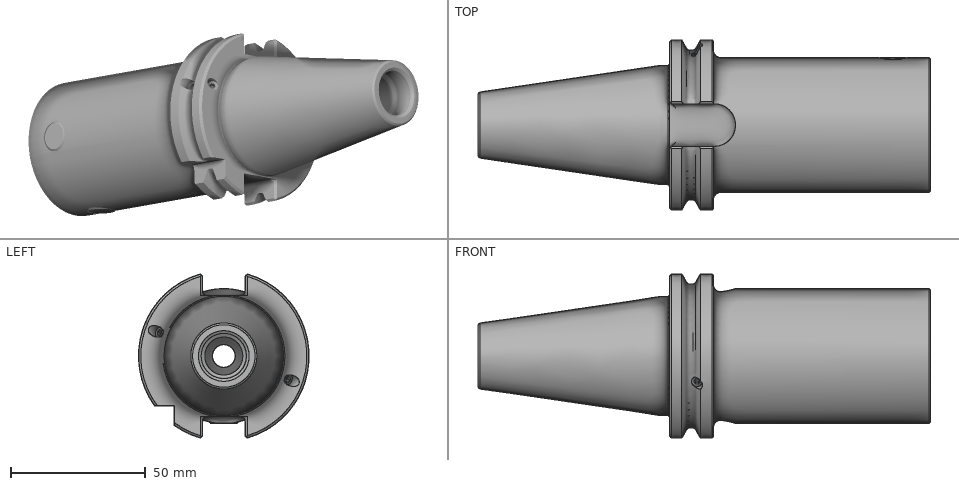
import cadquery as cq
import math


total_length = 168.2
taper_length = 68.0
taper_small_radius = 12.3
taper_large_radius = 22.2
small_end_chamfer = 0.7
body_radius = 25.0
nose_chamfer = 0.5

flange_front = 71.2
flange_rear = 87.5
flange_diameter = 63.5
flange_front_chamfer = 0.8
flange_rear_chamfer = 0.5
front_fillet = 0.5
rear_fillet = 2.9
groove_center = 79.2
groove_width = 7.0
groove_floor_radius = 28.0
groove_fillet = 1.2
flank_angle = 30.0

slot_half_width = 7.9
slot_floor = 22.5
slot_fillet = 1.5
slot_edge_chamfer = 0.8
slot_end_center = 87.8

notch_offset = 18.5

bore_mouth_radius = 9.5
pilot_radius = 8.4
pilot_depth = 7.7
thread_radius = 7.0
thread_end = 32.0
through_radius = 4.2
drill_point_angle = 60.0

coolant_angle = 20.0
coolant_radius = 2.0
coolant_depth = 8.4
face_hole_slope = 45.0
face_hole_radius = 27.0
face_screw_recess = 2.0
groove_hole_slope = 90.0
groove_hole_x = 81.5
groove_screw_recess = 0.3
set_screw_length = 4.0
socket_flats = 2.0
socket_depth = 2.0

plug_x = 154.3
plug_radius = 5.5
plug_top = 25.0
plug_length = 10.1
plug_chamfer = 0.7

flange_radius = flange_diameter / 2
flank_slope = math.tan(math.radians(flank_angle))
groove_half_floor = groove_width / 2 - (flange_radius - groove_floor_radius) * flank_slope
cut_reach = 2 * flange_radius


def revolved(points):
    """Solid of revolution around X from (x, radius) points."""
    profile = cq.Workplane("XY").polyline(points).close()
    return profile.revolve(360, (0, 0, 0), (1, 0, 0))


def shank_and_nose():
    chamfered_radius = taper_small_radius - small_end_chamfer
    return revolved([
        (0, 0),
        (0, chamfered_radius),
        (small_end_chamfer, taper_small_radius),
        (taper_length, taper_large_radius),
        (flange_front, taper_large_radius),
        (flange_front, body_radius),
        (total_length - nose_chamfer, body_radius),
        (total_length, body_radius - nose_chamfer),
        (total_length, 0),
    ])


def flange():
    disc = revolved([
        (flange_front, 0),
        (flange_front, flange_radius - flange_front_chamfer),
        (flange_front + flange_front_chamfer, flange_radius),
        (flange_rear - flange_rear_chamfer, flange_radius),
        (flange_rear, flange_radius - flange_rear_chamfer),
        (flange_rear, 0),
    ])
    return disc.cut(v_groove())


def v_groove():
    lip = 1.7
    half_mouth = groove_width / 2 + lip * flank_slope
    profile = (
        cq.Sketch()
        .polygon([
            (groove_center - half_mouth, flange_radius + lip),
            (groove_center - groove_half_floor, groove_floor_radius),
            (groove_center + groove_half_floor, groove_floor_radius),
            (groove_center + half_mouth, flange_radius + lip),
            (groove_center - half_mouth, flange_radius + lip),
        ])
        .vertices("<Y")
        .fillet(groove_fillet)
    )
    return cq.Workplane("XY").placeSketch(profile).revolve(360, (0, 0, 0), (1, 0, 0))


def root_fillet(x, radius, size):
    """Concave ring between a flange face at x and the round beside it, towards +X if size is positive."""
    ring = (
        cq.Workplane("XY")
        .moveTo(x, radius)
        .lineTo(x, radius + abs(size))
        .radiusArc((x + size, radius), -size)
        .close()
    )
    return ring.revolve(360, (0, 0, 0), (1, 0, 0))


def drive_slot():
    """Cutter for the slot on +Z: round-ended, with rounded floor edges and chamfered mouth edges."""
    start = flange_front - slot_half_width
    straight = slot_end_center - start
    height = cut_reach - slot_floor
    middle = (start + slot_end_center) / 2
    channel = (
        cq.Workplane("XY", origin=(0, 0, slot_floor))
        .center(middle, 0)
        .slot2D(straight + 2 * slot_half_width, 2 * slot_half_width)
        .extrude(height)
        .faces("<Z")
        .edges()
        .fillet(slot_fillet)
    )
    return channel.union(slot_front_chamfer(height)).union(slot_rim_chamfer())


def slot_front_chamfer(height):
    """Wedge opening the slot at 45 degrees towards the front face, down to its floor."""
    wide = slot_half_width + slot_edge_chamfer
    narrow = slot_half_width - slot_fillet
    front = cq.Workplane("XY", origin=(0, 0, slot_floor))
    return front.polyline([
        (flange_front, -wide),
        (flange_front + wide - narrow, -narrow),
        (flange_front + wide - narrow, narrow),
        (flange_front, wide),
    ]).close().extrude(height)


def slot_rim_chamfer():
    """V-shaped prism that breaks the outer edges of the slot along the flange."""
    rim_z = math.sqrt(flange_radius**2 - (slot_half_width + slot_edge_chamfer) ** 2)
    bottom = rim_z - slot_edge_chamfer
    rise = 3.4
    section = cq.Workplane("YZ", origin=(flange_front, 0, 0)).polyline([
        (-slot_half_width, bottom),
        (slot_half_width, bottom),
        (slot_half_width + rise, bottom + rise),
        (-slot_half_width - rise, bottom + rise),
    ])
    return section.close().extrude(flange_rear - flange_front)


def corner_notch():
    length = flange_rear + rear_fillet - flange_front
    return cq.Workplane("XY").box(length, cut_reach, cut_reach, centered=False).translate(
        (flange_front, notch_offset, -notch_offset - cut_reach)
    )


def bore():
    point_length = (thread_radius - through_radius) / math.tan(math.radians(drill_point_angle))
    return revolved([
        (0, 0),
        (0, bore_mouth_radius),
        (bore_mouth_radius - pilot_radius, pilot_radius),
        (pilot_depth, pilot_radius),
        (pilot_depth + pilot_radius - thread_radius, thread_radius),
        (thread_end, thread_radius),
        (thread_end + point_length, through_radius),
        (total_length, through_radius),
        (total_length, 0),
    ])


def coolant_planes(x, radius, hole_slope):
    """Two opposite work planes at the hole mouths, facing out along the holes."""
    slope = math.radians(hole_slope)
    planes = []
    for angle in (coolant_angle, coolant_angle + 180):
        across = math.cos(math.radians(angle))
        up = math.sin(math.radians(angle))
        origin = (x, radius * across, radius * up)
        outward = (-math.cos(slope), math.sin(slope) * across, math.sin(slope) * up)
        tangent = (0, -up, across)
        planes.append(cq.Plane(origin=origin, xDir=tangent, normal=outward))
    return planes


def coolant_hole(plane):
    overshoot = 2.5 * coolant_radius
    return (
        cq.Workplane(plane)
        .workplane(offset=-coolant_depth)
        .circle(coolant_radius)
        .extrude(coolant_depth + overshoot)
    )


def set_screw(plane, recess):
    screw = (
        cq.Workplane(plane)
        .workplane(offset=-recess - set_screw_length)
        .circle(coolant_radius)
        .extrude(set_screw_length)
    )
    socket = (
        cq.Workplane(plane)
        .workplane(offset=-recess)
        .polygon(6, socket_flats, circumscribed=True)
        .extrude(-socket_depth)
    )
    return screw.cut(socket)


def nose_hole(plane):
    bottom = plug_top - plug_length
    return cq.Workplane(plane).workplane(offset=bottom).circle(plug_radius).extrude(cut_reach)


def nose_plug(plane):
    bottom = plug_top - plug_length
    plug = cq.Workplane(plane).workplane(offset=bottom).circle(plug_radius).extrude(plug_length)
    rim = cq.selectors.RadiusNthSelector(0)
    top = plug.faces(cq.selectors.DirectionMinMaxSelector(plane.zDir, True))
    return top.edges(rim).chamfer(plug_chamfer)


face_planes = coolant_planes(flange_front, face_hole_radius, face_hole_slope)
groove_planes = coolant_planes(groove_hole_x, groove_floor_radius, groove_hole_slope)
plug_planes = [
    cq.Plane(origin=(plug_x, 0, 0), xDir=(1, 0, 0), normal=normal)
    for normal in ((0, 1, 0), (0, 0, -1))
]

holder = shank_and_nose().union(flange())
holder = holder.union(root_fillet(flange_front, taper_large_radius, -front_fillet))
holder = holder.union(root_fillet(flange_rear, body_radius, rear_fillet))
for turn in (0, 180):
    holder = holder.cut(drive_slot().rotate((0, 0, 0), (1, 0, 0), turn))
holder = holder.cut(corner_notch()).cut(bore())
for hole_plane in face_planes + groove_planes:
    holder = holder.cut(coolant_hole(hole_plane))
for hole_plane in plug_planes:
    holder = holder.cut(nose_hole(hole_plane))

face_screws = [set_screw(plane, face_screw_recess).val() for plane in face_planes]
groove_screws = [set_screw(plane, groove_screw_recess).val() for plane in groove_planes]
nose_plugs = [nose_plug(plane).val() for plane in plug_planes]

result = cq.Compound.makeCompound([holder.val(), *face_screws, *groove_screws, *nose_plugs])